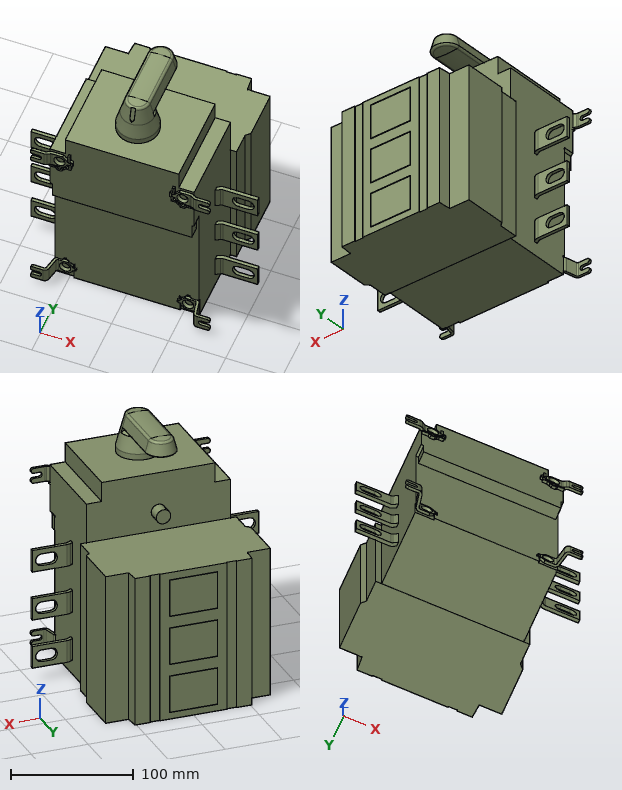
import cadquery as cq
import math

OVERALL_WIDTH = 198.55
OVERALL_DEPTH = 163.04
OVERALL_HEIGHT = 219.95
FRONT_Y = -85.2
SIDES = (-1, 1)

HOUSING_HALF_WIDTH = 63.2
HOUSING_FRONT_Y = -69.5
SHOULDER_Z = 167.4
TOP_HALF_WIDTH = 49.7
TOP_Z = 184.6
COVER_FRONT_Y = -80.4
COVER_BOTTOM_Z = 109.9
COVER_SKIRT_HALF_WIDTH = 61.1
COVER_SKIRT_TOP_Z = 123.4
SHAFT_RADIUS = 6.3
SHAFT_LENGTH = 11.3
SHAFT_Z = 149.8

POLE_PITCH = 43.4
POLE_HEIGHTS = [22.7 + pole * POLE_PITCH for pole in range(3)]

TERMINAL_HEIGHT = 19.6
TERMINAL_THICKNESS = 3.2
TERMINAL_Y = -29.8
TERMINAL_BEND_X = 67.5
TERMINAL_BEND_ANGLE = 30
TERMINAL_BEND_RADIUS = 5.0
TERMINAL_ROOT_DEPTH = 5
TERMINAL_SLOT_X = 86.8
TERMINAL_SLOT_LENGTH = 18.9
TERMINAL_SLOT_WIDTH = 10.5

REAR_HEIGHT = 132.5
REAR_HALF_WIDTH = 72.2
REAR_NECK_HALF_WIDTH = 68.5
REAR_NECK_DEPTH = 18.9
REAR_CHAMFER_END_Y = 22.5
REAR_SHOULDER_Y = 65.1
REAR_RAISED_HALF_WIDTH = 52.1
REAR_BACK_HALF_WIDTH = 51.2
PANEL_HALF_WIDTH = 20.9
PANEL_HEIGHT = 32.8
PANEL_THICKNESS = 0.7
PANEL_BACK_Y = FRONT_Y + OVERALL_DEPTH
REAR_BACK_Y = PANEL_BACK_Y - PANEL_THICKNESS
GROOVE_INNER_X = 29.5
GROOVE_OUTER_X = 37.8
GROOVE_DEPTH = 0.75

PLATE_THICKNESS = 2.5
BRACKET_HEIGHT = 13.4
LOWER_BEND_RADIUS = 2.75
UPPER_BEND_RADIUS = 3.8
BRACKET_X = 53.9
TAB_END_X = 78.5
TAB_SLOT_WIDTH = 4.6
TAB_SLOT_END_X = 68.9
TAB_TIP_RADIUS = 2.1
HOLE_FRONT_RADIUS = 4.9
HOLE_BACK_RADIUS = 3.4
LOWER_BRACKET_Z = 11.3
UPPER_BRACKET_Z = 158.3
LOWER_FLOOR_Y = -68.0
UPPER_FLOOR_Y = COVER_FRONT_Y
LOWER_BENDS_X = (62.0, 65.1)
UPPER_BENDS_X = (61.4, 65.5)
OCTAGON_CORNER = math.tan(math.radians(22.5))
TOOTH_ROOT_HALF_WIDTH = 2.2
TOOTH_TIP_HALF_WIDTH = 0.7
TOOTH_TIP_REACH = 9.6

POCKET_REACH = 7.3
POCKET_TOOTH_CLEARANCE = 0.15
NOTCH_REACH_X = 8.2
NOTCH_TOP = 5.3
NOTCH_BOTTOM = 3.2
RIM_WIDTH = 1.8
RIM_HEIGHT = PLATE_THICKNESS

HANDLE_Y = -45.2
ARM_END_Y = 4.9
HUB_RADIUS = 18.3
HUB_RIM_TOP_Z = 189.8
HUB_WAIST_Z = 203.3
TAPER = 0.272
ARM_BOTTOM_Z = 205.5
ARM_BOTTOM_EDGE = (10.8, 206.1)
ARM_WIDEST_Z = 207.6
ARM_SIDE_TOP_Z = 217.6
ARM_TOP_EDGE = (8.3, 219.3)
ARM_CROWN_FLATNESS = 0.75
HUB_NECK_RADIUS = 11.2
TOP_ROUNDING_BULGE = 0.25
BOTTOM_ROUNDING_BULGE = 0.75
POINTER_WIDTH = 3.8
POINTER_DEPTH = 0.6
POINTER_SHOULDER_Z = 207.5
POINTER_TIP_Z = 205.1


def block(x_half, y_front, y_back, z_low, z_high):
    """Box centred on X = 0."""
    return cq.Workplane("XY").box(
        2 * x_half, y_back - y_front, z_high - z_low, centered=(True, False, False)
    ).translate((0, y_front, z_low))


def mirrored_outline(half):
    """Closed outline from its right half, listed from one end of the mirror line to the other."""
    return half + [(-x, y) for x, y in reversed(half)]


def front_prism(outline, y_back, depth):
    """Prism of an (x, z) outline that reaches from y_back towards -Y."""
    return cq.Workplane("XZ", origin=(0, y_back, 0)).polyline(outline).close().extrude(depth)


def bent_strip(path_points, bend_radius, thickness, height, z):
    """Metal strip of rectangular section along an (x, y) path with rounded bends."""
    path = cq.Wire.makePolygon([cq.Vector(x, y, z) for x, y in path_points]).fillet(bend_radius)
    section = cq.Plane(origin=(*path_points[0], z), xDir=(0, 1, 0), normal=(1, 0, 0))
    return cq.Workplane(section).rect(thickness, height).sweep(cq.Workplane(obj=path))


def on_side(left_shape, side):
    """Shape made for the -X side, mirrored when the +X side is wanted."""
    return left_shape if side < 0 else left_shape.mirror("YZ")


def left_terminal(z):
    """Slotted blade that bends forwards as it enters the housing."""
    end_x = -OVERALL_WIDTH / 2
    root_x = -HOUSING_HALF_WIDTH + TERMINAL_ROOT_DEPTH
    drop = (root_x + TERMINAL_BEND_X) * math.tan(math.radians(TERMINAL_BEND_ANGLE))
    path = [(end_x, TERMINAL_Y), (-TERMINAL_BEND_X, TERMINAL_Y), (root_x, TERMINAL_Y - drop)]
    blade = bent_strip(path, TERMINAL_BEND_RADIUS, TERMINAL_THICKNESS, TERMINAL_HEIGHT, z)
    slot = (
        cq.Workplane("XZ", origin=(-TERMINAL_SLOT_X, TERMINAL_Y, z))
        .slot2D(TERMINAL_SLOT_LENGTH, TERMINAL_SLOT_WIDTH)
        .extrude(TERMINAL_THICKNESS, both=True)
    )
    return blade.cut(slot)


def tooth_outline(clearance=0.0):
    """Tooth that points along +X from the screw hole at the origin; its root lies inside the plate."""
    root = TOOTH_ROOT_HALF_WIDTH + clearance
    tip = TOOTH_TIP_HALF_WIDTH + clearance
    reach = TOOTH_TIP_REACH + clearance
    flat = BRACKET_HEIGHT / 2
    return [(0, -root), (flat, -root), (reach, -tip), (reach, tip), (flat, root), (0, root)]


def pocket_outline():
    """Left pocket around the screw hole at the origin, open towards -X and downwards."""
    far = 3 * POCKET_REACH
    corner = POCKET_REACH * OCTAGON_CORNER
    tooth = tooth_outline(POCKET_TOOTH_CLEARANCE)[1:-1]
    side_tooth = [(max(x, POCKET_REACH), z) for x, z in tooth]
    top_tooth = [(-z, x) for x, z in side_tooth]
    notch = [
        (POCKET_REACH, NOTCH_BOTTOM),
        (NOTCH_REACH_X, NOTCH_BOTTOM),
        (NOTCH_REACH_X, NOTCH_TOP),
        (POCKET_REACH + corner - NOTCH_TOP, NOTCH_TOP),
    ]
    walls = [(corner, POCKET_REACH), *top_tooth, (-far, POCKET_REACH)]
    return [(-far, -far), (POCKET_REACH, -far), *side_tooth, *notch, *walls]


def pocket_prism(y_back, depth, z, opens_up, margin=0.0):
    """Prism of the left pocket outline, grown by the margin, placed at the bracket height z."""
    sketch = cq.Workplane("XZ").polyline(pocket_outline()).close()
    if margin:
        sketch = sketch.offset2D(margin, "intersection")
    prism = sketch.extrude(depth)
    if opens_up:
        prism = prism.mirror("XY")
    return prism.translate((-BRACKET_X, y_back, z))


def left_rim():
    """Raised wall around the upper bracket, flush with the housing side and shoulder."""
    outer = pocket_prism(UPPER_FLOOR_Y, RIM_HEIGHT, UPPER_BRACKET_Z, True, RIM_WIDTH)
    inner = pocket_prism(UPPER_FLOOR_Y, RIM_HEIGHT, UPPER_BRACKET_Z, True)
    limit = block(HOUSING_HALF_WIDTH, UPPER_FLOOR_Y - RIM_HEIGHT, UPPER_FLOOR_Y, 0, SHOULDER_Z)
    return outer.cut(inner).intersect(limit)


def make_housing():
    """Stepped case with its raised cover, shaft, bracket pockets, rims and terminals."""
    body = block(HOUSING_HALF_WIDTH, HOUSING_FRONT_Y, 0, 0, SHOULDER_Z)
    body = body.union(block(TOP_HALF_WIDTH, COVER_FRONT_Y, 0, SHOULDER_Z, TOP_Z))

    skirt_step = HOUSING_HALF_WIDTH - COVER_SKIRT_HALF_WIDTH
    cover = mirrored_outline([
        (COVER_SKIRT_HALF_WIDTH, COVER_BOTTOM_Z),
        (COVER_SKIRT_HALF_WIDTH, COVER_SKIRT_TOP_Z),
        (HOUSING_HALF_WIDTH, COVER_SKIRT_TOP_Z + skirt_step),
        (HOUSING_HALF_WIDTH, SHOULDER_Z),
    ])
    body = body.union(front_prism(cover, HOUSING_FRONT_Y, HOUSING_FRONT_Y - COVER_FRONT_Y))

    shaft = cq.Workplane("XZ").center(0, SHAFT_Z).circle(SHAFT_RADIUS).extrude(-SHAFT_LENGTH)
    body = body.union(shaft)

    for side in SIDES:
        pocket_depth = LOWER_FLOOR_Y - HOUSING_FRONT_Y
        body = body.cut(on_side(pocket_prism(LOWER_FLOOR_Y, pocket_depth, LOWER_BRACKET_Z, False), side))
        body = body.union(on_side(left_rim(), side))
        for z in POLE_HEIGHTS:
            body = body.union(on_side(left_terminal(z), side))
    return body


def make_rear_block():
    """Wide block behind the housing, with two grooves and a raised panel per pole."""
    groove_y = REAR_BACK_Y - GROOVE_DEPTH
    outline = mirrored_outline([
        (REAR_NECK_HALF_WIDTH, 0),
        (REAR_NECK_HALF_WIDTH, REAR_NECK_DEPTH),
        (REAR_HALF_WIDTH, REAR_CHAMFER_END_Y),
        (REAR_HALF_WIDTH, REAR_SHOULDER_Y),
        (REAR_RAISED_HALF_WIDTH, REAR_SHOULDER_Y),
        (REAR_BACK_HALF_WIDTH, REAR_BACK_Y),
        (GROOVE_OUTER_X, REAR_BACK_Y),
        (GROOVE_OUTER_X, groove_y),
        (GROOVE_INNER_X, groove_y),
        (GROOVE_INNER_X, REAR_BACK_Y),
    ])
    rear = cq.Workplane("XY").polyline(outline).close().extrude(REAR_HEIGHT)
    for z in POLE_HEIGHTS:
        low = z - PANEL_HEIGHT / 2
        rear = rear.union(block(PANEL_HALF_WIDTH, REAR_BACK_Y, PANEL_BACK_Y, low, low + PANEL_HEIGHT))
    return rear


def make_bracket(side, z, floor_y, bends_x, bend_radius):
    """Bent plate with a slotted tab, an eight-sided end around the screw hole and one tooth."""
    plate_y = floor_y - PLATE_THICKNESS / 2
    tab_y = FRONT_Y + PLATE_THICKNESS / 2
    path = [(-TAB_END_X, tab_y), (-bends_x[1], tab_y), (-bends_x[0], plate_y), (-BRACKET_X, plate_y)]
    strip = bent_strip(path, bend_radius, PLATE_THICKNESS, BRACKET_HEIGHT, z)

    slot = (
        cq.Workplane("XZ", origin=(-TAB_END_X, FRONT_Y + PLATE_THICKNESS, z))
        .slot2D(2 * (TAB_END_X - TAB_SLOT_END_X), TAB_SLOT_WIDTH)
        .extrude(PLATE_THICKNESS)
    )
    strip = strip.cut(slot)
    strip = strip.faces("<X").edges("|Y").fillet(TAB_TIP_RADIUS)

    half = BRACKET_HEIGHT / 2
    corner = half * OCTAGON_CORNER
    octagon_end = [(0, -half), (corner, -half), (half, -corner), (half, corner), (corner, half), (0, half)]
    for outline in (octagon_end, tooth_outline()):
        strip = strip.union(front_prism(outline, floor_y, PLATE_THICKNESS).translate((-BRACKET_X, 0, z)))

    hole = cq.Solid.makeCone(
        HOLE_BACK_RADIUS,
        HOLE_FRONT_RADIUS,
        PLATE_THICKNESS,
        cq.Vector(-BRACKET_X, floor_y, z),
        cq.Vector(0, -1, 0),
    )
    return on_side(strip.cut(cq.Workplane(obj=hole)), side)


def taper_radius(z):
    """Radius of the tapered hub and arm end at the height z."""
    return HUB_RADIUS - TAPER * (z - HUB_RIM_TOP_Z)


def on_left(points):
    """The same points on the -X side, in the opposite order."""
    return [(-x, z) for x, z in reversed(points)]


def arm_top_points():
    """Start, middle and end of the upper rounding on the +X side."""
    radius = taper_radius(ARM_SIDE_TOP_Z)
    edge_radius, edge_z = ARM_TOP_EDGE
    middle = (radius + TOP_ROUNDING_BULGE * (edge_radius - radius), (ARM_SIDE_TOP_Z + edge_z) / 2)
    return [(radius, ARM_SIDE_TOP_Z), middle, ARM_TOP_EDGE]


def arm_bottom_points():
    """Start, middle and end of the lower rounding on the +X side."""
    radius = taper_radius(ARM_WIDEST_Z)
    edge_radius, edge_z = ARM_BOTTOM_EDGE
    middle = (edge_radius + BOTTOM_ROUNDING_BULGE * (radius - edge_radius), (ARM_WIDEST_Z + edge_z) / 2)
    return [ARM_BOTTOM_EDGE, middle, (radius, ARM_WIDEST_Z)]


def crown_middle(edge, crown_z):
    """Point halfway between the mid plane and the edge of a crowned face."""
    radius, edge_z = edge
    return (radius / 2, edge_z + ARM_CROWN_FLATNESS * (crown_z - edge_z))


def arm_section():
    """Full cross-section of the arm, crowned above and below."""
    bottom = arm_bottom_points()
    top = arm_top_points()
    left_bottom = on_left(bottom)
    left_top = on_left(top)
    return (
        cq.Workplane("XZ")
        .moveTo(*left_bottom[2])
        .threePointArc((0, ARM_BOTTOM_Z), bottom[0])
        .threePointArc(bottom[1], bottom[2])
        .lineTo(*top[0])
        .threePointArc(top[1], top[2])
        .threePointArc((0, OVERALL_HEIGHT), left_top[0])
        .threePointArc(left_top[1], left_top[2])
        .lineTo(*left_bottom[0])
        .threePointArc(left_bottom[1], left_bottom[2])
        .close()
    )


def close_over_top(sketch):
    """Finish a half section with the tapered side, the upper rounding and the top crown."""
    start, middle, end = arm_top_points()
    sketch = sketch.lineTo(*start).threePointArc(middle, end)
    return sketch.threePointArc(crown_middle(end, OVERALL_HEIGHT), (0, OVERALL_HEIGHT)).close()


def revolve_section(half_section, y, angle, axis_end):
    """Revolve a half section about the vertical axis at the given Y."""
    return half_section.revolve(angle, (0, 0), axis_end).translate((0, y, 0))


def make_handle():
    """Tapered hub with a long rounded arm that reaches back over the rear block."""
    waist_radius = taper_radius(HUB_WAIST_Z)
    behind = (0, 1)
    in_front = (0, -1)

    hub_section = cq.Workplane("XZ").polyline([
        (0, TOP_Z),
        (HUB_RADIUS, TOP_Z),
        (HUB_RADIUS, HUB_RIM_TOP_Z),
        (waist_radius, HUB_WAIST_Z),
        (0, HUB_WAIST_Z),
    ]).close()
    hub = revolve_section(hub_section, HANDLE_Y, 360, behind)

    neck_section = cq.Workplane("XZ").polyline([
        (0, HUB_WAIST_Z),
        (waist_radius, HUB_WAIST_Z),
        (HUB_NECK_RADIUS, ARM_BOTTOM_Z),
        (HUB_NECK_RADIUS, ARM_WIDEST_Z),
        (0, ARM_WIDEST_Z),
    ]).close()
    neck = revolve_section(neck_section, HANDLE_Y, 180, behind)

    front_section = cq.Workplane("XZ").polyline([(0, HUB_WAIST_Z), (waist_radius, HUB_WAIST_Z)])
    arm_front = revolve_section(close_over_top(front_section), HANDLE_Y, 180, in_front)

    arm = arm_section().extrude(ARM_END_Y - HANDLE_Y).translate((0, ARM_END_Y, 0))

    end_bottom, end_middle, end_side = arm_bottom_points()
    end_section = (
        cq.Workplane("XZ")
        .moveTo(0, ARM_BOTTOM_Z)
        .threePointArc(crown_middle(end_bottom, ARM_BOTTOM_Z), end_bottom)
        .threePointArc(end_middle, end_side)
    )
    arm_end = revolve_section(close_over_top(end_section), ARM_END_Y, 180, behind)

    return arm_front.union(hub).union(arm).union(neck).union(arm_end).cut(pointer_groove())


def pointer_groove():
    """Shallow pointed groove that follows the tapered front of the handle."""
    half = POINTER_WIDTH / 2
    sides = mirrored_outline([(half, POINTER_SHOULDER_Z), (half, OVERALL_HEIGHT)])
    outline = [(0, POINTER_TIP_Z), *sides]
    front_y = HANDLE_Y - HUB_RADIUS
    floor_low_y = HANDLE_Y - taper_radius(POINTER_TIP_Z) + POINTER_DEPTH
    floor_high_y = HANDLE_Y - taper_radius(OVERALL_HEIGHT) + POINTER_DEPTH
    wedge = (
        cq.Workplane("YZ")
        .polyline([
            (front_y, POINTER_TIP_Z),
            (floor_low_y, POINTER_TIP_Z),
            (floor_high_y, OVERALL_HEIGHT),
            (front_y, OVERALL_HEIGHT),
        ])
        .close()
        .extrude(POINTER_WIDTH, both=True)
    )
    return front_prism(outline, HANDLE_Y, HUB_RADIUS).intersect(wedge)


housing = make_housing()
rear_block = make_rear_block()
handle = make_handle()
brackets = []
for side in SIDES:
    brackets.append(make_bracket(side, LOWER_BRACKET_Z, LOWER_FLOOR_Y, LOWER_BENDS_X, LOWER_BEND_RADIUS))
    brackets.append(make_bracket(side, UPPER_BRACKET_Z, UPPER_FLOOR_Y, UPPER_BENDS_X, UPPER_BEND_RADIUS))

result = cq.Compound.makeCompound(
    [body.solids().val() for body in (housing, rear_block, handle, *brackets)]
)